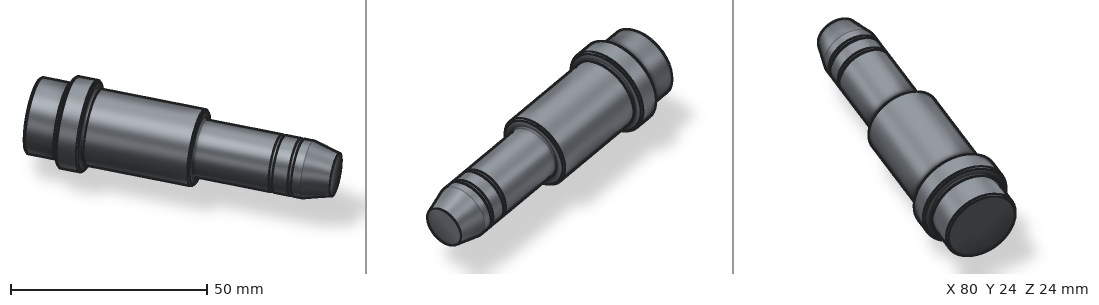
import cadquery as cq
import math

length = 80.0
head_end = 8.0
flange_end = 15.0
body_end = 44.0
taper_start = 72.8

body_diameter = 20.0
flange_diameter = 24.0
spigot_diameter = 15.0
edge_chamfer = 0.5
taper_angle = 15.0
root_fillet = 0.5

groove_radius = 0.5
spigot_groove_starts = (64.3, 69.4)

body_radius = body_diameter / 2
flange_radius = flange_diameter / 2
spigot_radius = spigot_diameter / 2
flange_start = head_end + 2 * groove_radius
tip_radius = spigot_radius - (length - taper_start) * math.tan(math.radians(taper_angle))


def add_groove(outline, start, surface_radius):
    """Draw to a groove start, then across the groove as a half circle cut into the surface."""
    bottom = (start + groove_radius, surface_radius - groove_radius)
    end = (start + 2 * groove_radius, surface_radius)
    return outline.lineTo(start, surface_radius).threePointArc(bottom, end)


profile = (
    cq.Workplane("XY")
    .lineTo(0, body_radius - edge_chamfer)
    .lineTo(edge_chamfer, body_radius)
)
profile = add_groove(profile, head_end, body_radius)

profile = (
    profile.lineTo(flange_start, flange_radius - edge_chamfer)
    .lineTo(flange_start + edge_chamfer, flange_radius)
    .lineTo(flange_end - edge_chamfer, flange_radius)
    .lineTo(flange_end, flange_radius - edge_chamfer)
)

profile = add_groove(profile, flange_end, body_radius)
profile = (
    profile.lineTo(body_end - edge_chamfer, body_radius)
    .lineTo(body_end, body_radius - edge_chamfer)
)

root_offset = root_fillet * (1 - math.sin(math.pi / 4))
profile = profile.lineTo(body_end, spigot_radius + root_fillet).threePointArc(
    (body_end + root_offset, spigot_radius + root_offset),
    (body_end + root_fillet, spigot_radius),
)
for start in spigot_groove_starts:
    profile = add_groove(profile, start, spigot_radius)

profile = (
    profile.lineTo(taper_start, spigot_radius)
    .lineTo(length, tip_radius)
    .lineTo(length, 0)
    .close()
)

result = profile.revolve(360, (0, 0, 0), (1, 0, 0))